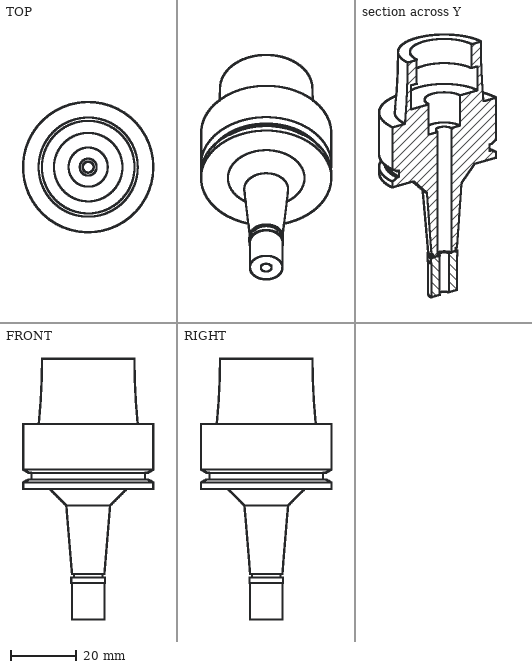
import cadquery as cq
import math

total_height = 80.0
flange_top = 60.0
flange_bottom = 40.0
cone_bottom = 35.0
neck_top = 14.0
nut_top = 13.0
collar_bottom = 11.3

taper_top_radius = 14.2
taper_arc_radius = 200.0
flange_radius = 20.0

groove_radius = 17.45
groove_wall_top = 46.0
groove_wall_bottom = 42.0
groove_wall_height = 1.0
groove_wall_angle = 30.0

shank_top_radius = 6.75
shank_end_radius = 5.0
neck_radius = 4.4

mouth_radius = 10.5
mouth_depth = 8.0
undercut_radius = 12.75
undercut_depth = 15.8
socket_radius = 6.0
socket_depth = 10.0
coolant_bore_radius = 2.6

nut_radius = 5.0
collar_radius = 5.2
nut_hole_radius = 1.65


def cylinder(radius, bottom, top):
    """Cylinder on the Z axis between two heights."""
    return cq.Workplane("XY").workplane(offset=bottom).circle(radius).extrude(top - bottom)


def arc_drop(depth):
    """Radius gained by the taper flank at a depth below its top, where the arc is vertical."""
    return taper_arc_radius - math.sqrt(taper_arc_radius**2 - depth**2)


def holder_blank():
    """Taper, grooved flange, cone and shank, turned about the Z axis."""
    taper_height = total_height - flange_top
    taper_middle = (taper_top_radius + arc_drop(taper_height / 2), total_height - taper_height / 2)
    taper_end = (taper_top_radius + arc_drop(taper_height), flange_top)
    groove_lip_radius = flange_radius - groove_wall_height / math.tan(math.radians(groove_wall_angle))
    groove_floor_top = groove_wall_top - groove_wall_height
    groove_floor_bottom = groove_wall_bottom + groove_wall_height
    cone_top_radius = shank_top_radius + flange_bottom - cone_bottom
    profile = (
        cq.Workplane("XZ")
        .moveTo(0, total_height)
        .lineTo(taper_top_radius, total_height)
        .threePointArc(taper_middle, taper_end)
        .lineTo(flange_radius, flange_top)
        .lineTo(flange_radius, groove_wall_top)
        .lineTo(groove_lip_radius, groove_floor_top)
        .lineTo(groove_radius, groove_floor_top)
        .lineTo(groove_radius, groove_floor_bottom)
        .lineTo(groove_lip_radius, groove_floor_bottom)
        .lineTo(flange_radius, groove_wall_bottom)
        .lineTo(flange_radius, flange_bottom)
        .lineTo(cone_top_radius, flange_bottom)
        .lineTo(shank_top_radius, cone_bottom)
        .lineTo(shank_end_radius, neck_top)
        .lineTo(neck_radius, neck_top)
        .lineTo(neck_radius, nut_top)
        .lineTo(0, nut_top)
        .close()
    )
    return profile.revolve(360, (0, 0, 0), (0, 1, 0))


def holder_bore():
    """Mouth, wider undercut, socket and coolant bore, from the top face down."""
    mouth_bottom = total_height - mouth_depth
    undercut_bottom = total_height - undercut_depth
    socket_bottom = undercut_bottom - socket_depth
    return (
        cylinder(mouth_radius, mouth_bottom, total_height)
        .union(cylinder(undercut_radius, undercut_bottom, mouth_bottom))
        .union(cylinder(socket_radius, socket_bottom, undercut_bottom))
        .union(cylinder(coolant_bore_radius, nut_top, socket_bottom))
    )


def make_holder():
    return holder_blank().cut(holder_bore())


def make_nut():
    """Plain sleeve with a thin collar at its upper end, butting against the holder neck."""
    sleeve = cylinder(nut_radius, 0, nut_top)
    collar = cylinder(collar_radius, collar_bottom, nut_top)
    hole = cylinder(nut_hole_radius, 0, nut_top)
    return sleeve.union(collar).cut(hole)


holder = make_holder()
nut = make_nut()

result = cq.Compound.makeCompound([holder.val(), nut.val()])